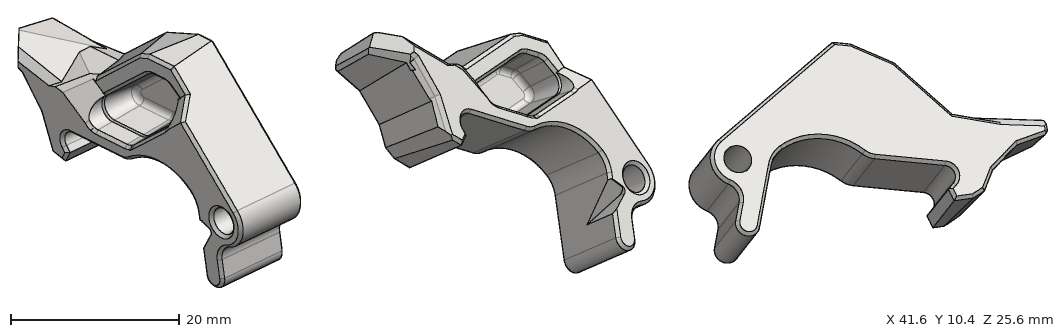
import cadquery as cq
import math

thickness = 10.4
edge_chamfer = 0.4
draft = 5.0
bevel = 45.0
far = 62.4

pivot = (38.3, 9.5)
pivot_radius = 3.3
slope_angle = math.radians(45.6)
hole_diameter = 3.4
leg_end = (37.0, 1.5)
leg_radius = 1.5
leg_tilt = math.radians(10)
heel_blend = 2.0
knee_blend = 3.75

underside_z = 11.35
arch_center = (27.55, 4.95)
arch_radius = 8.3
arch_blend_start_x = 21.35
hook_radius = 1.35
hook_tip_length = 0.95
hook_center = (12.7, underside_z - hook_radius)

recess_depth = 2.75
recess_blend = 0.9
pocket_depth = 8.05
pocket_floor_fillet = 0.85
pocket_floor_offset = 1.3

tail_bevel = 0.9
tail_lip_inset = 0.55


def along(center, radius, angle):
    """Point on a circle in the XZ plane."""
    return (center[0] + radius * math.cos(angle), center[1] + radius * math.sin(angle))


def heading(start, end):
    """Angle in the XZ plane of the line from start to end."""
    return math.atan2(end[1] - start[1], end[0] - start[0])


def leg_blend_center(side_offset, center, distance, branch):
    """Point at a side offset from the leg axis and at a distance from center."""
    base = along(leg_end, side_offset, leg_tilt)
    axis = leg_tilt + math.pi / 2
    gap = math.dist(base, center)
    turn = heading(base, center) - axis
    reach = math.sqrt(distance**2 - (gap * math.sin(turn)) ** 2)
    return along(base, gap * math.cos(turn) + branch * reach, axis)


def xz_plane(y):
    """Workplane facing the front at depth y; extruding moves toward the front."""
    return cq.Workplane(cq.Plane(origin=(0, y, 0), xDir=(1, 0, 0), normal=(0, -1, 0)))


def half_space(p1, p2, p3, below=True):
    """Large block on one side (lower or upper in Z) of the plane through three points."""
    a, b, c = cq.Vector(*p1), cq.Vector(*p2), cq.Vector(*p3)
    normal = (b - a).cross(c - a)
    if (normal.z > 0) == below:
        normal = normal * -1
    plane = cq.Plane(origin=a, xDir=b - a, normal=normal)
    return cq.Workplane(plane).rect(2 * far, 2 * far).extrude(far)


def common(solids):
    """Volume shared by all the solids."""
    shared = solids[0]
    for solid in solids[1:]:
        shared = shared.intersect(solid)
    return shared


def block_under(x_start, x_end, planes):
    """Full-depth block between two X positions, trimmed from above by the planes."""
    block = cq.Workplane().box(x_end - x_start, thickness, far, centered=False)
    block = block.translate((x_start, 0, 0))
    for points in planes:
        block = block.intersect(half_space(*points))
    return block


def slope_point(distance, inset, y):
    """Point a distance up the long top slope from the pivot end, set in below its surface."""
    foot = along(pivot, pivot_radius - inset, slope_angle)
    x, z = along(foot, distance, slope_angle + math.pi / 2)
    return x, y, z


def set_in(start, end, inset, y):
    """Edge moved to depth y and set in to its right, going from start to end seen from the front."""
    length = math.dist(start, end)
    dx = inset * (end[2] - start[2]) / length
    dz = -inset * (end[0] - start[0]) / length
    return [(point[0] + dx, y, point[2] + dz) for point in (start, end)]


def edge_bevel(start, end, face_y):
    """Points of a 45 degree plane from an edge to the face at face_y."""
    foot, _ = set_in(start, end, abs(face_y - start[1]), face_y)
    return start, end, foot


def outline_prism():
    """Straight outline of the part, oversize above the tail, beveled along both faces."""
    slope_top_z = 27.05
    slope_end = along(pivot, pivot_radius, slope_angle)
    slope_top = (slope_end[0] - (slope_top_z - slope_end[1]) * math.tan(slope_angle), slope_top_z)

    heel_center = leg_blend_center(leg_radius + heel_blend, pivot, pivot_radius + heel_blend, -1)
    heel_start = along(pivot, pivot_radius, heading(pivot, heel_center))
    heel_end = along(heel_center, heel_blend, math.pi + leg_tilt)
    heel_mid = along(heel_center, heel_blend, math.radians(145))
    leg_right = along(leg_end, leg_radius, leg_tilt)
    leg_left = along(leg_end, leg_radius, leg_tilt + math.pi)
    leg_tip = along(leg_end, leg_radius, -math.pi / 2)

    knee_center = leg_blend_center(-leg_radius - knee_blend, arch_center, arch_radius - knee_blend, 1)
    knee_angle = heading(arch_center, knee_center)
    leg_top = along(knee_center, knee_blend, leg_tilt)
    knee_mid = along(knee_center, knee_blend, (knee_angle + leg_tilt) / 2)
    arch_end = along(arch_center, arch_radius, knee_angle)
    arch_top = along(arch_center, arch_radius, math.pi / 2)

    run = arch_center[0] - arch_blend_start_x
    rise = underside_z - arch_center[1]
    blend_radius = (run**2 + rise**2 - arch_radius**2) / (2 * (arch_radius - rise))
    blend_center = (arch_blend_start_x, underside_z + blend_radius)
    blend_angle = heading(blend_center, arch_center)
    blend_end = along(blend_center, blend_radius, blend_angle)
    blend_mid = along(blend_center, blend_radius, (blend_angle - math.pi / 2) / 2)

    hook_end_angle = math.radians(219)
    hook_mid = along(hook_center, hook_radius, math.radians(155))
    hook_end = along(hook_center, hook_radius, hook_end_angle)
    hook_tip = along(hook_end, hook_tip_length, hook_end_angle + math.pi / 2)

    return (
        xz_plane(thickness)
        .moveTo(*slope_top)
        .lineTo(*slope_end)
        .threePointArc(along(pivot, pivot_radius, 0), heel_start)
        .threePointArc(heel_mid, heel_end)
        .lineTo(*leg_right)
        .threePointArc(leg_tip, leg_left)
        .lineTo(*leg_top)
        .threePointArc(knee_mid, arch_end)
        .threePointArc(arch_top, blend_end)
        .threePointArc(blend_mid, (arch_blend_start_x, underside_z))
        .lineTo(hook_center[0], underside_z)
        .threePointArc(hook_mid, hook_end)
        .lineTo(*hook_tip)
        .lineTo(11.52, 7.0)
        .lineTo(4.15, 8.78)
        .lineTo(0, 12.5)
        .lineTo(0, 17.05)
        .lineTo(1.9, slope_top_z)
        .close()
        .extrude(thickness)
        .faces("<Y or >Y")
        .chamfer(edge_chamfer)
    )


def lever():
    """Upright lever with three inclined faces along its top."""
    y_back = thickness - edge_chamfer
    y_front = recess_depth + edge_chamfer
    lower = (13.0, y_back, 18.93)
    shoulder = (18.93, y_back, 23.75)
    crown = (24.35, y_back, 25.63)
    crown_end = (26.5, y_back, 25.63)
    front_lower = (14.15, y_front, 18.5)
    front_shoulder = (21.5, y_front, 24.55)
    front_crown = (22.95, y_front, 25.05)
    front_crown_end = (27.05, y_front, 25.05)
    return block_under(10.4, far, [
        (lower, shoulder, front_shoulder),
        (shoulder, crown, front_shoulder),
        (crown, crown_end, front_crown),
        edge_bevel(lower, shoulder, thickness),
        edge_bevel(shoulder, crown, thickness),
        edge_bevel(crown, crown_end, thickness),
        edge_bevel(front_lower, front_shoulder, recess_depth),
        edge_bevel(front_shoulder, front_crown, recess_depth),
        edge_bevel(front_crown, front_crown_end, recess_depth),
    ])


def hump():
    """Low faceted saddle between the tail and the lever."""
    valley = (8.35, 5.95, 18.15)
    ridge_back = (13.05, 7.32, 18.8)
    ridge_front = (13.95, 3.15, 18.65)
    corner = (12.95, 2.85, 18.45)
    front_end = (10.45, 0.95, 17.15)
    back_left = (5.55, thickness - edge_chamfer, 17.47)
    back_right = (11.55, thickness - edge_chamfer, 17.95)
    return block_under(2.1, 17.47, [
        (back_left, back_right, ridge_back),
        edge_bevel(back_left, back_right, thickness),
        (valley, ridge_back, ridge_front),
        (valley, corner, front_end),
        ((10.8, 0.5, 17.0), corner, (13.48, 2.6, 18.15)),
    ])


def tail():
    """Tail with a slanting crest and a bevel along its front and back top edges."""
    crest_right = (9.45, 9.28, 17.97)
    crest_left = (1.15, 3.33, 19.45)
    back_left = (0.4, 9.28, 18.55)
    front_left = (3.6, 0.95, 18.65)
    front_right = (10.45, 0.95, 17.05)
    return block_under(0, 12.5, [
        (crest_right, crest_left, back_left),
        (crest_right, crest_left, front_right),
        (back_left, crest_right, (0.4, 10.0, 17.85)),
        (front_left, front_right, (4.1, 0, 17.6)),
    ])


def tail_undercut():
    """Drafted faces under the tail, beveled at the back and more widely at the front."""
    y_back = thickness - edge_chamfer
    back = [(x, y_back, z) for x, z in [(0, 16.6), (3.75, 14.85), (6.8, 11.3), (7.8, 8.6), (9.15, 7.57)]]
    front = [(x, tail_bevel, z) for x, z in [(0, 17.47), (3.85, 15.72), (7.0, 11.95), (8.3, 8.7)]]
    faces = [half_space(back[i], back[i + 1], front[i + 1]) for i in range(3)]
    back_bevels = [half_space(*edge_bevel(back[i + 1], back[i], thickness)) for i in range(3)]
    front_bevels = [half_space(*edge_bevel(front[i + 1], front[i], edge_chamfer)) for i in range(3)]
    lips = []
    for i in range(3):
        lip_start, lip_end = set_in(front[i + 1], front[i], tail_bevel - edge_chamfer, edge_chamfer)
        foot, _ = set_in(lip_start, lip_end, tail_lip_inset, 0)
        lips.append(half_space(lip_start, lip_end, foot))
    toe = half_space(back[3], back[4], front[3])
    toe_bevel = half_space(*edge_bevel(back[4], back[3], thickness))
    cutter = toe.union(toe_bevel)
    for group in (faces, back_bevels, front_bevels, lips):
        cutter = cutter.union(common(group))
    return cutter


def tail_corner():
    """Slanting cut across the front left corner of the tail, with bevels below it and the end."""
    corner = (
        cq.Workplane()
        .polyline([(-8.3, 12.6), (3.83, 0), (3.83, -8.3), (-8.3, -8.3)])
        .close()
        .extrude(far)
    )
    under = half_space((0.05, 3.9, 17.72), (3.55, 0.3, 16.6), (3.85, 0.9, 15.75))
    limit = cq.Workplane().box(8.3, thickness, 8.3, centered=False).translate((-2.1, 0, 14.98))
    end = half_space((0, 10.0, 17.05), (0.1, 4.15, 17.6), (0.35, 10.0, 16.45))
    return corner.union(under.union(end).intersect(limit))


def recess():
    """Sunken area around the pocket; its sides slope at 45 degrees."""
    left_top, left_foot = (11.1, 0, 16.7), (15.85, 0, 13.4)
    right_foot, right_top = (22.92, 0, 13.15), (30.55, 0, 19.55)
    bottom_left = (16.22, 0, 13.15)
    left_side, bottom_side, right_side = [
        half_space(*edge_bevel(start, end, recess_depth), below=False)
        for start, end in [(left_foot, left_top), (right_foot, bottom_left), (right_top, right_foot)]
    ]
    block = cq.Workplane().box(far, recess_depth, far, centered=False).translate((10.4, 0, 10.4))
    block = block.intersect(left_side).faces(">Y").edges("<X[1]").fillet(recess_blend)
    return common([block, bottom_side, right_side])


def slope_edge_bevel():
    """Bevel along the long top slope where the recess floor and its sloping side meet it."""
    floor_end = 15.23
    side_end = floor_end - recess_depth
    overlap = edge_chamfer * math.tan(math.radians(bevel / 2))
    edge_y = recess_depth + edge_chamfer
    inner = slope_point(floor_end, edge_chamfer, recess_depth)
    floor_corner = slope_point(floor_end - overlap, 0, edge_y)
    floor_bevel = half_space(inner, floor_corner, slope_point(side_end, 0, edge_y), below=False)
    side_bevel = half_space(inner, floor_corner, slope_point(side_end - overlap, 0, edge_chamfer), below=False)
    return floor_bevel.intersect(side_bevel)


def pocket_step(y_back, y_front, offset, angle):
    """Stretch of the pocket widening toward the front, with rounded corners."""
    core = [(17.0, 15.4), (21.92, 15.4), (27.25, 19.7), (25.63, 20.92), (23.85, 20.92)]
    profile = xz_plane(y_back).polyline(core).close().offset2D(offset)
    return profile.extrude(y_back - y_front, taper=-angle)


def pocket():
    """Drafted pocket with a rounded floor edge and a bevel around its stepped mouth."""
    cutter = pocket_step(pocket_depth, 0, pocket_floor_offset, draft)
    cutter = cutter.faces(">Y").edges().fillet(pocket_floor_fillet)
    for face_y in (0, recess_depth):
        y = face_y + edge_chamfer
        offset = pocket_floor_offset + (pocket_depth - y) * math.tan(math.radians(draft))
        cutter = cutter.union(pocket_step(y, face_y, offset, bevel))
    return cutter


def pivot_hole():
    """Through hole at the pivot with a beveled front rim."""
    radius = hole_diameter / 2
    cutter = xz_plane(thickness).center(*pivot).circle(radius).extrude(thickness)
    rim = xz_plane(edge_chamfer).center(*pivot).circle(radius).extrude(edge_chamfer, taper=-bevel)
    return cutter.union(rim)


def leg_notch():
    """Notch in the leg under a slanting roof that runs out at the back."""
    start_z = 4.15
    corner_radius = 0.62
    roof = half_space((35.0, 5.15, start_z), (34.75, 0, 8.5), (36.03, 0, 8.05))
    profile = (
        xz_plane(thickness)
        .polyline([(32.7, 0), (35.0, start_z), (36.85, 7.65), (32.45, 9.15)])
        .close()
        .extrude(thickness)
        .edges("|Y and >X")
        .fillet(corner_radius)
    )
    return profile.intersect(roof)


result = outline_prism().intersect(lever().union(hump()).union(tail()))
result = result.cut(tail_undercut())
result = result.cut(tail_corner())
result = result.cut(recess())
result = result.cut(slope_edge_bevel())
result = result.cut(pocket())
result = result.cut(pivot_hole())
result = result.cut(leg_notch())